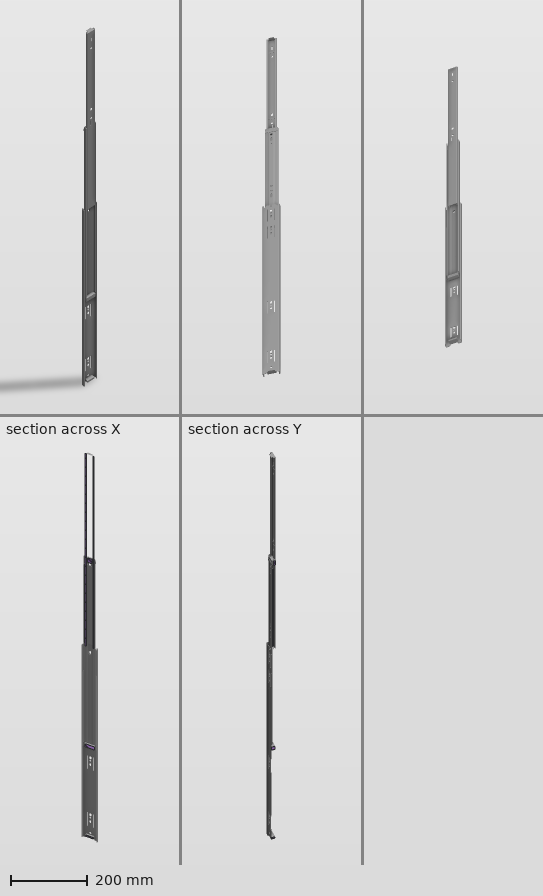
import cadquery as cq
import math


TOTAL_DEPTH = 12.79
RAIL_LENGTH = 650.0
TOTAL_LENGTH = 2 * RAIL_LENGTH

OUTER_SHEET = 1.2
OUTER_HALF_WIDTH = 45.7 / 2
OUTER_DEPTH = 10.8
OUTER_BEND = 1.8
OUTER_LIP_BEND = 1.6
OUTER_LIP_Y = 20.2
MOUNT_TOPS = (86.0, 278.0, 568.0, 634.0)
MOUNT_HEIGHT = 46.0
SIDE_SLOT_WIDTH = 2.6
SIDE_SLOT_Y = 9.0
MOUNT_HOLES = ((5.0, 10.0, 6.5), (15.0, 5.0, 5.0), (28.0, 9.0, 5.0))
LOCATING_HOLE_Z = 20.0
LOCATING_HOLE_DIAMETER = 6.0
NOTCH_HEIGHT = 8.0
NOTCH_TOP_HALF = 8.0
NOTCH_FOOT_HALF = 13.0
TOP_NOTCH_DEPTH = 8.0
TOP_NOTCH_HALF = 3.2
TOP_CORNER_INNER_Y = 11.0
TOP_CORNER_OUTER_Y = 19.0

MIDDLE_SHEET = 1.1
MIDDLE_BOTTOM = 325.0
MIDDLE_TOP = 951.0
MIDDLE_HALF_WIDTH = 17.6
MIDDLE_FRONT = 12.0
MIDDLE_BEND = 1.0
MIDDLE_SHOULDER = 3.6
MIDDLE_RIB_X = 2.6
MIDDLE_RIB_HALF = 6.0
MIDDLE_SHOULDER_Y = 9.0
MIDDLE_LIP_Y = 14.9
MIDDLE_SLOTS = (
    (630.0, 12.0, 7.0),
    (689.0, 14.0, 6.0),
    (708.0, 6.0, 6.0),
    (726.0, 9.0, 6.0),
    (891.0, 3.0, 3.0),
    (908.0, 14.0, 6.0),
    (926.0, 8.0, 6.0),
)

INNER_SHEET = 1.2
INNER_BOTTOM = TOTAL_LENGTH - RAIL_LENGTH
INNER_HALF_WIDTH = 13.7
INNER_BEND = 2.4
INNER_LIP_BEND = 0.7
INNER_BACK = 5.6
INNER_LIP_Y = 9.5
INNER_SLOTS = ((979.0, 7.0, 5.5), (1012.0, 10.0, 5.5), (1237.0, 6.0, 5.5), (1269.0, 14.0, 3.5))
INNER_SIDE_SLOT_Z = 963.0
INNER_SIDE_SLOT_LENGTH = 18.0
INNER_SIDE_SLOT_WIDTH = 2.0
INNER_SIDE_SLOT_Y = -2.0
INNER_RIBS = ((996.0, 4.0), (1253.0, 5.0))
INNER_RIB_HEIGHT = 0.6
END_TAB_SHEET = 1.2
END_TAB_BACK = 1.4
END_TAB_STEM_HALF = 7.5
END_TAB_HEAD_HALF = 11.0

RETAINER_SHEET = 0.5
RETAINER_BEND = 0.5
OUTER_RETAINER_BOTTOM = 309.0
OUTER_RETAINER_TOP = 560.0
OUTER_RETAINER_HALF_WIDTH = 20.2
OUTER_RETAINER_DEPTH = 8.5
OUTER_RETAINER_FOOT = 12.0
OUTER_RETAINER_FOOT_HALF = 15.0
OUTER_RETAINER_FOOT_FRONT = 11.5
INNER_RETAINER_BOTTOM = 660.0
INNER_RETAINER_TOP = 925.0
INNER_RETAINER_HALF_WIDTH = 15.6
INNER_RETAINER_DEPTH = 10.5

BUMPER_CLEARANCE = 0.2
END_BUMPER_HEIGHT = 17.0
END_BUMPER_STEM_HALF = 7.5
END_BUMPER_HEAD_HALF = 11.0
END_BUMPER_PAD_X = 1.4
END_BUMPER_PAD_HALF = 17.0
END_BUMPER_PAD_HEIGHT = 8.0
END_BUMPER_PAD_DROP = 12.5
REAR_BUMPER_HEIGHT = 6.0
REAR_BUMPER_HALF = 12.0
REAR_BUMPER_FRONT = 11.5


def block(x_min, x_max, half_width, z_min, z_max):
    """Box centred on the middle plane."""
    depth = x_max - x_min
    return cq.Workplane("XY").box(depth, 2 * half_width, z_max - z_min).translate(
        ((x_min + x_max) / 2, 0, (z_min + z_max) / 2)
    )


def towards(start, end, distance):
    """Point at a distance from start on the line to end."""
    span = math.dist(start, end)
    return tuple(a + (b - a) * distance / span for a, b in zip(start, end))


def folded_sheet(half_path, setbacks, sheet, z_min, z_max):
    """Symmetric bent sheet: half_path is its mid-line from the lip on +Y towards the middle plane.

    Each setback is the distance from a corner of half_path to the ends of its bend arc.
    """
    path = half_path + [(x, -y) for x, y in reversed(half_path)]
    bends = setbacks + setbacks[::-1]
    line = cq.Workplane("XY", origin=(0, 0, z_min)).moveTo(*path[0])
    for before, corner, after, setback in zip(path, path[1:], path[2:], bends):
        line = line.lineTo(*towards(corner, before, setback))
        line = line.tangentArcPoint(towards(corner, after, setback), relative=False)
    return line.lineTo(*path[-1]).wire().offset2D(sheet / 2).extrude(z_max - z_min)


def through_slot(z_centre, length, width, y_centre=0.0):
    """Round-ended cutter along Z, passing through the slide in X."""
    cutter = cq.Workplane("YZ").center(y_centre, z_centre)
    if length > width:
        cutter = cutter.slot2D(length, width, 90)
    else:
        cutter = cutter.circle(width / 2)
    return cutter.extrude(TOTAL_DEPTH)


def mount_cutter(top):
    """Two long side slots with a column of screw holes between them."""
    middle = top - MOUNT_HEIGHT / 2
    cutter = through_slot(middle, MOUNT_HEIGHT, SIDE_SLOT_WIDTH, SIDE_SLOT_Y)
    cutter = cutter.union(through_slot(middle, MOUNT_HEIGHT, SIDE_SLOT_WIDTH, -SIDE_SLOT_Y))
    for drop, length, width in MOUNT_HOLES:
        cutter = cutter.union(through_slot(top - drop, length, width))
    return cutter


def make_outer_rail():
    half = OUTER_SHEET / 2
    wall = OUTER_HALF_WIDTH - half
    front = OUTER_DEPTH - half
    path = [(front, OUTER_LIP_Y), (front, wall), (half, wall)]
    rail = folded_sheet(path, [OUTER_LIP_BEND, OUTER_BEND], OUTER_SHEET, 0, RAIL_LENGTH)
    for top in MOUNT_TOPS:
        rail = rail.cut(mount_cutter(top))
    rail = rail.cut(through_slot(LOCATING_HOLE_Z, LOCATING_HOLE_DIAMETER, LOCATING_HOLE_DIAMETER))
    foot_notch = (
        cq.Workplane("YZ")
        .polyline(
            [
                (-NOTCH_FOOT_HALF, 0),
                (-NOTCH_TOP_HALF, NOTCH_HEIGHT),
                (NOTCH_TOP_HALF, NOTCH_HEIGHT),
                (NOTCH_FOOT_HALF, 0),
            ]
        )
        .close()
        .extrude(OUTER_SHEET)
    )
    top_notch = block(0, OUTER_SHEET, TOP_NOTCH_HALF, RAIL_LENGTH - TOP_NOTCH_DEPTH, RAIL_LENGTH)
    rail = rail.cut(foot_notch).cut(top_notch)
    for side in (1, -1):
        corner = (
            cq.Workplane("YZ")
            .polyline(
                [
                    (side * TOP_CORNER_INNER_Y, RAIL_LENGTH),
                    (side * TOP_CORNER_OUTER_Y, RAIL_LENGTH - TOP_NOTCH_DEPTH),
                    (side * TOP_CORNER_OUTER_Y, RAIL_LENGTH),
                ]
            )
            .close()
            .extrude(OUTER_SHEET)
        )
        rail = rail.cut(corner)
    return rail


def make_middle_rail():
    half = MIDDLE_SHEET / 2
    wall = MIDDLE_HALF_WIDTH - half
    front = MIDDLE_FRONT - half
    shoulder = MIDDLE_SHOULDER + half
    path = [
        (front, MIDDLE_LIP_Y),
        (front, wall),
        (shoulder, wall),
        (shoulder, MIDDLE_SHOULDER_Y),
        (MIDDLE_RIB_X + half, MIDDLE_RIB_HALF),
    ]
    rail = folded_sheet(path, [MIDDLE_BEND] * 4, MIDDLE_SHEET, MIDDLE_BOTTOM, MIDDLE_TOP)
    for z_centre, length, width in MIDDLE_SLOTS:
        rail = rail.cut(through_slot(z_centre, length, width))
    bumper_seat = block(0, MIDDLE_FRONT, END_BUMPER_STEM_HALF, MIDDLE_TOP - END_BUMPER_HEIGHT, MIDDLE_TOP)
    return rail.cut(bumper_seat)


def make_inner_rail():
    half = INNER_SHEET / 2
    wall = INNER_HALF_WIDTH - half
    back = INNER_BACK + half
    web = TOTAL_DEPTH - half
    path = [(back, INNER_LIP_Y), (back, wall), (web, wall)]
    rail = folded_sheet(path, [INNER_LIP_BEND, INNER_BEND], INNER_SHEET, INNER_BOTTOM, TOTAL_LENGTH)
    web_face = TOTAL_DEPTH - INNER_SHEET
    for z_centre, height in INNER_RIBS:
        rib = block(web_face - INNER_RIB_HEIGHT, web_face, wall, z_centre - height / 2, z_centre + height / 2)
        rail = rail.union(rib)
    for z_centre, length, width in INNER_SLOTS:
        rail = rail.cut(through_slot(z_centre, length, width))
    tab_bottom = TOTAL_LENGTH - END_TAB_SHEET
    lip_front = INNER_BACK + INNER_SHEET
    rail = rail.union(block(END_TAB_BACK, web, END_TAB_STEM_HALF, tab_bottom, TOTAL_LENGTH))
    rail = rail.union(block(lip_front, web, END_TAB_HEAD_HALF, tab_bottom, TOTAL_LENGTH))
    side_slot = through_slot(
        INNER_SIDE_SLOT_Z, INNER_SIDE_SLOT_LENGTH, INNER_SIDE_SLOT_WIDTH, INNER_SIDE_SLOT_Y
    )
    return rail.cut(side_slot)


def make_retainer(back, front, half_width, z_min, z_max):
    """U-shaped ball cage: a back web with one leg in each ball track."""
    half = RETAINER_SHEET / 2
    wall = half_width - half
    return folded_sheet([(front, wall), (back + half, wall)], [RETAINER_BEND], RETAINER_SHEET, z_min, z_max)


def make_outer_retainer():
    """Cage between the outer and middle rails, closed by a foot below the middle rail."""
    cage = make_retainer(
        (OUTER_SHEET + MIDDLE_RIB_X - RETAINER_SHEET) / 2,
        OUTER_RETAINER_DEPTH,
        OUTER_RETAINER_HALF_WIDTH,
        OUTER_RETAINER_BOTTOM,
        OUTER_RETAINER_TOP,
    )
    foot = block(
        OUTER_SHEET,
        OUTER_RETAINER_FOOT_FRONT,
        OUTER_RETAINER_FOOT_HALF,
        OUTER_RETAINER_BOTTOM,
        OUTER_RETAINER_BOTTOM + OUTER_RETAINER_FOOT,
    )
    return cage.union(foot)


def make_inner_retainer():
    """Cage between the middle and inner rails."""
    middle_face = MIDDLE_SHOULDER + MIDDLE_SHEET
    return make_retainer(
        (middle_face + INNER_BACK - RETAINER_SHEET) / 2,
        INNER_RETAINER_DEPTH,
        INNER_RETAINER_HALF_WIDTH,
        INNER_RETAINER_BOTTOM,
        INNER_RETAINER_TOP,
    )


def make_end_bumper():
    """T-shaped plug at the top of the middle rail; its head lies inside the inner rail."""
    bottom = MIDDLE_TOP - END_BUMPER_HEIGHT
    head_back = INNER_BACK + INNER_SHEET + BUMPER_CLEARANCE
    head_front = TOTAL_DEPTH - INNER_SHEET - BUMPER_CLEARANCE
    pad_middle = MIDDLE_TOP - END_BUMPER_PAD_DROP
    stem = block(MIDDLE_RIB_X, head_back, END_BUMPER_STEM_HALF, bottom, MIDDLE_TOP)
    head = block(head_back, head_front, END_BUMPER_HEAD_HALF, bottom, MIDDLE_TOP)
    pad = block(
        END_BUMPER_PAD_X,
        MIDDLE_RIB_X,
        END_BUMPER_PAD_HALF,
        pad_middle - END_BUMPER_PAD_HEIGHT / 2,
        pad_middle + END_BUMPER_PAD_HEIGHT / 2,
    )
    return stem.union(head).union(pad)


def make_rear_bumper():
    """Stop block just above the foot notch of the outer rail."""
    top = NOTCH_HEIGHT + REAR_BUMPER_HEIGHT
    return block(OUTER_SHEET, REAR_BUMPER_FRONT, REAR_BUMPER_HALF, NOTCH_HEIGHT, top)


outer_rail = make_outer_rail()
middle_rail = make_middle_rail()
inner_rail = make_inner_rail()
outer_retainer = make_outer_retainer()
inner_retainer = make_inner_retainer()
end_bumper = make_end_bumper()
rear_bumper = make_rear_bumper()

result = cq.Compound.makeCompound(
    [
        outer_rail.val(),
        middle_rail.val(),
        inner_rail.val(),
        outer_retainer.val(),
        inner_retainer.val(),
        end_bumper.val(),
        rear_bumper.val(),
    ]
)